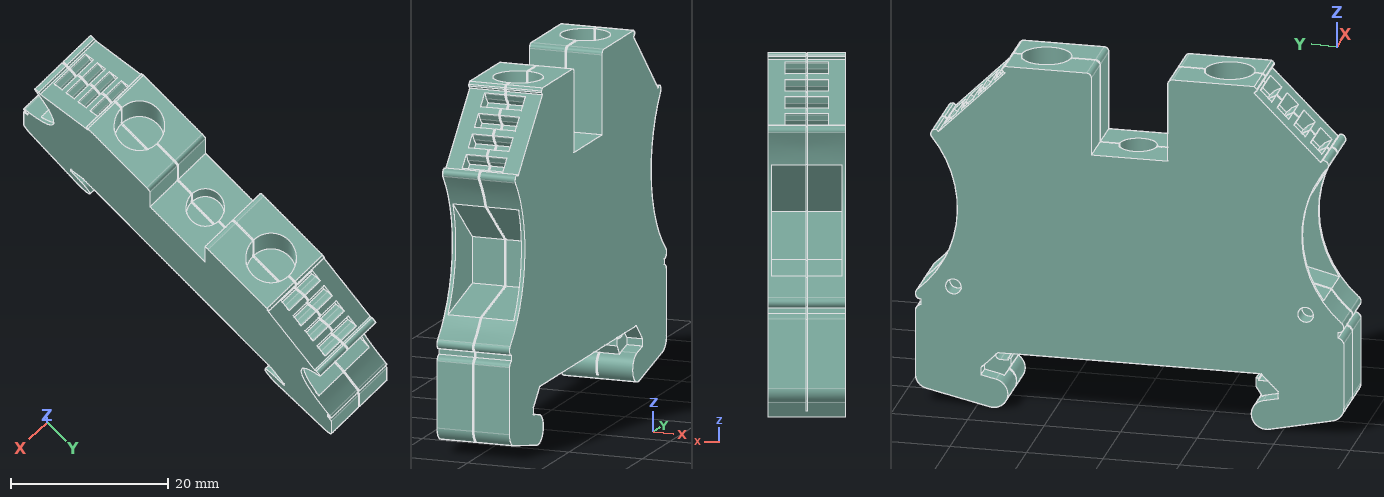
import cadquery as cq
import math

width = 9.9
length = 56.0
height = 46.5
half_length = length / 2

recess_half = 5.0
recess_floor = 35.4
tower_round = 0.6

lip_chamfer = 0.35
lip_nose = 0.2
tower_lip_y = 16.3

bevel_top_y = tower_lip_y
bevel_top_z = height - 2 * lip_chamfer - lip_nose
bevel_drop = 8.7
bevel_bottom_y = bevel_top_y + bevel_drop
bevel_bottom_z = bevel_top_z - bevel_drop
nose_y = 25.9
nose_top_z = 37.2
nose_bottom_z = 36.25
nose_round = 0.7
nose_inner_y = bevel_bottom_y + nose_top_z - bevel_bottom_z

flank_waist_y = 22.5
flank_waist_z = 26.7
flank_radius = 15.25
flank_center_y = flank_waist_y + flank_radius

shoulder_round = 0.7
shoulder_y = half_length - shoulder_round
shoulder_angle = math.acos((flank_center_y - shoulder_y) / (flank_radius + shoulder_round))
shoulder_z = flank_waist_z - (flank_radius + shoulder_round) * math.sin(shoulder_angle)
flank_end_y = shoulder_y + shoulder_round * math.cos(shoulder_angle)
flank_end_z = shoulder_z + shoulder_round * math.sin(shoulder_angle)
groove_bottom_z = 13.2
groove_corner_z = 12.5
groove_round = 1.0

sole_angle = math.radians(12.5)
foot_round = 1.85
hook_radius = 1.95
hook_tip_y = 15.9
hook_y = hook_tip_y + hook_radius
hook_z = hook_radius

rail_z = 7.5
rail_half = 17.2
undercut_y = 19.45
undercut_top_z = rail_z - (undercut_y - rail_half)

contact_width = 5.6
contact_tip_y = 16.0
contact_top_z = 5.75
contact_bead_top_z = 6.05
contact_bead_width = 0.35
contact_tip_bottom_z = 4.9
contact_low_y = 16.85
contact_low_z = 3.65
contact_embed = 0.55
contact_root_y = undercut_y + contact_embed
contact_notch_radius = 0.7
contact_notch_y = 17.35
contact_inner_y = 17.7
contact_inner_z = rail_z - (contact_inner_y - rail_half)

screw_y = 12.0
screw_diameter = 6.45
screw_depth = height - recess_floor
center_diameter = 4.9
center_depth = 5.6

pin_y = 23.0
pin_z = 16.0
pin_diameter = 2.0
pin_depth = 2.25

entry_width = 8.95
entry_back_y = 16.6
entry_back_low_z = 20.1
entry_back_high_z = 26.2
entry_mouth_low_z = 18.0
entry_mouth_low_y = 25.2
entry_mouth_high_z = 32.15
entry_mouth_high_y = 23.6

slot_count = 4
slot_rise = 2.2
slot_pitch = slot_rise * math.sqrt(2)
slot_width = 5.55
slot_opening = 2.1
slot_mouth_depth = 0.2
slot_draft_depth = 1.0
slot_draft_inset = 0.25
slot_depth = 1.95
slot_row_z = 41.2
slot_row_y = bevel_top_y + bevel_top_z - slot_row_z

seam_width = 0.15
seam_depth = 0.15
seam_bottom_z = 0.8


def on_hook(angle):
    """Point of the hook tip circle at an angle measured from +Y towards +Z."""
    return (hook_y + hook_radius * math.cos(angle), hook_z + hook_radius * math.sin(angle))


def along_sole(start, end_y):
    """Point at end_y on the line through start that runs parallel to the sole."""
    return (end_y, start[1] + (end_y - start[0]) * math.tan(sole_angle))


def half_outline():
    """Closed +Y half of the housing profile."""
    hook_bottom = on_hook(sole_angle - math.pi / 2)
    hook_top = on_hook(sole_angle + math.pi / 2)
    foot_corner_z = along_sole(hook_bottom, half_length)[1]
    foot_tangent = foot_round * math.tan((math.pi / 2 - sole_angle) / 2)
    foot_corner_end = along_sole(hook_bottom, half_length - foot_tangent * math.cos(sole_angle))
    return (
        cq.Workplane("YZ")
        .moveTo(0, recess_floor)
        .lineTo(recess_half, recess_floor)
        .lineTo(recess_half, height - tower_round)
        .radiusArc((recess_half + tower_round, height), tower_round)
        .lineTo(tower_lip_y, height)
        .lineTo(tower_lip_y + lip_chamfer, height - lip_chamfer)
        .lineTo(tower_lip_y + lip_chamfer, height - lip_chamfer - lip_nose)
        .lineTo(bevel_top_y, bevel_top_z)
        .lineTo(bevel_bottom_y, bevel_bottom_z)
        .lineTo(nose_inner_y, nose_top_z)
        .radiusArc((nose_y, nose_bottom_z), nose_round)
        .threePointArc((flank_waist_y, flank_waist_z), (flank_end_y, flank_end_z))
        .threePointArc((half_length, shoulder_z), (shoulder_y, shoulder_z - shoulder_round))
        .lineTo(shoulder_y, groove_bottom_z)
        .radiusArc((half_length, groove_corner_z), groove_round)
        .lineTo(half_length, foot_corner_z + foot_tangent)
        .radiusArc(foot_corner_end, foot_round)
        .lineTo(*hook_bottom)
        .threePointArc(on_hook(sole_angle + math.pi), hook_top)
        .lineTo(*along_sole(hook_top, undercut_y))
        .lineTo(undercut_y, undercut_top_z)
        .lineTo(rail_half, rail_z)
        .lineTo(0, rail_z)
        .close()
    )


def on_both_sides(shape):
    """The shape joined with its mirror image across Y = 0."""
    return shape.union(shape.mirror("XZ"))


def vertical_holes(margin):
    """The two screw holes in the towers and the smaller one in the recess floor."""
    holes = (
        cq.Workplane("XY", origin=(0, 0, height))
        .pushPoints([(0, -screw_y), (0, screw_y)])
        .circle(screw_diameter / 2 + margin)
        .extrude(-screw_depth - margin)
    )
    center = (
        cq.Workplane("XY", origin=(0, 0, recess_floor))
        .circle(center_diameter / 2 + margin)
        .extrude(-center_depth - margin)
    )
    return holes.union(center)


def wire_entries(margin):
    """Tapered funnels that open into the concave flanks."""
    floor_slope = (entry_back_low_z - entry_mouth_low_z) / (entry_mouth_low_y - entry_back_y)
    roof_slope = (entry_mouth_high_z - entry_back_high_z) / (entry_mouth_high_y - entry_back_y)
    reach = half_length - entry_back_y
    entry = (
        cq.Workplane("YZ")
        .moveTo(entry_back_y, entry_back_low_z)
        .lineTo(half_length, entry_back_low_z - floor_slope * reach)
        .lineTo(half_length, entry_back_high_z + roof_slope * reach)
        .lineTo(entry_back_y, entry_back_high_z)
        .close()
        .offset2D(margin, "intersection")
        .extrude(entry_width / 2, both=True)
    )
    return on_both_sides(entry)


def marking_slots(margin):
    """Rows of slots across the bevels, drafted near the mouth and straight below."""
    bevel = cq.Plane(origin=(0, slot_row_y, slot_row_z), xDir=(0, 1, -1), normal=(1, 0, 0))
    mouth = slot_opening / 2 + margin
    throat = mouth - slot_draft_inset
    bottom = -slot_depth - margin
    slots = cq.Workplane()
    for index in range(slot_count):
        middle = (index - (slot_count - 1) / 2) * slot_pitch
        slot = (
            cq.Workplane(bevel)
            .moveTo(middle - mouth, 0)
            .lineTo(middle - mouth, -slot_mouth_depth)
            .lineTo(middle - throat, -slot_draft_depth)
            .lineTo(middle - throat, bottom)
            .lineTo(middle + throat, bottom)
            .lineTo(middle + throat, -slot_draft_depth)
            .lineTo(middle + mouth, -slot_mouth_depth)
            .lineTo(middle + mouth, 0)
            .close()
            .extrude(slot_width / 2, both=True)
        )
        slots = slots.add(slot)
    return on_both_sides(slots.combine())


def housing(margin):
    """Housing with its openings; margin recedes its outline and deepens its openings."""
    body = on_both_sides(half_outline().extrude(width / 2, both=True))
    if margin > 0:
        outline = body.faces("<X").wires().toPending()
        body = outline.offset2D(-margin).extrude(width, combine=False)
    return body.cut(vertical_holes(margin)).cut(wire_entries(margin)).cut(marking_slots(margin))


def pin_holes():
    """Two shallow holes in the -X face."""
    return (
        cq.Workplane("YZ", origin=(-width / 2, 0, 0))
        .pushPoints([(-pin_y, pin_z), (pin_y, pin_z)])
        .circle(pin_diameter / 2)
        .extrude(pin_depth)
    )


def rail_contacts():
    """Metal contact ends that bridge each undercut between hook and rail seat."""
    contact = (
        cq.Workplane("YZ")
        .moveTo(contact_tip_y, contact_bead_top_z)
        .lineTo(contact_tip_y + contact_bead_width, contact_bead_top_z)
        .lineTo(contact_tip_y + contact_bead_width, contact_top_z)
        .lineTo(contact_notch_y, contact_top_z)
        .radiusArc((contact_inner_y, contact_inner_z), -contact_notch_radius)
        .lineTo(contact_root_y, contact_inner_z)
        .lineTo(contact_root_y, contact_low_z)
        .lineTo(contact_low_y, contact_low_z)
        .lineTo(contact_tip_y, contact_tip_bottom_z)
        .close()
        .extrude(contact_width / 2, both=True)
    )
    return on_both_sides(contact)


def seam_groove():
    """Thin mid-plane slab less the receded housing: a shallow groove in every surface it meets."""
    slab = cq.Workplane("XY", origin=(0, 0, seam_bottom_z)).rect(seam_width, length).extrude(height)
    return slab.cut(housing(seam_depth))


result = housing(0).cut(seam_groove()).cut(pin_holes()).union(rail_contacts())